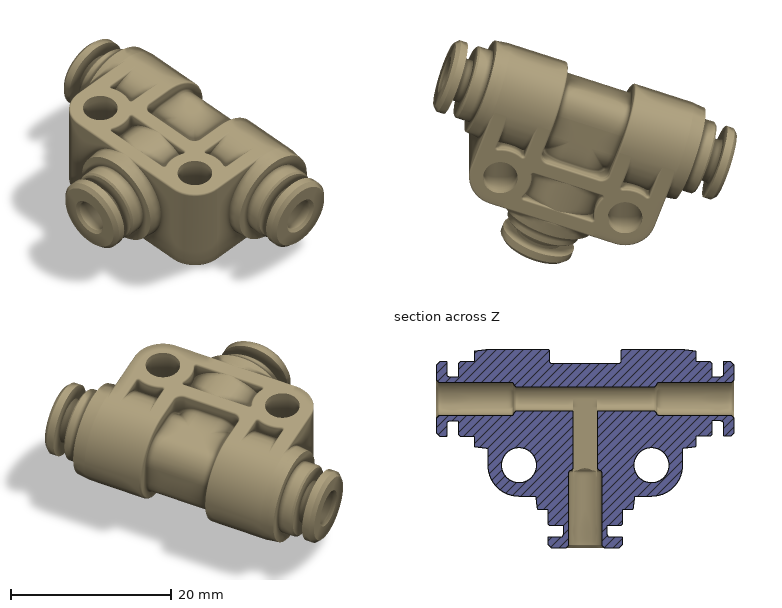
import cadquery as cq
port_reach = 18.6
body_radius = 6.198
body_reach = 12.15
edge_round = 0.22
overlap = 0.37

hole_radius = 2.15
plate_corner_radius = 3.9
hole_offset = body_reach - plate_corner_radius
hole_wall_radius = plate_corner_radius

notch_half_width = 4.43
notch_depth = 4.43
notch_corner_radius = 1.05
pocket_width = 3.72
pocket_corner_radius = 0.22
pocket_fill_radius = 6.18

core_half_width = 4.45
core_round = 3.0
core_fillet = 0.22
foot_zone = 0.4
selection_margin = 0.05

hub_end = 13.85
hub_end_radius = 6.0
sleeve_end = 15.8
sleeve_radius = 4.7
sleeve_chamfer = 0.22
neck_radius = 2.75
neck_flare = 0.15
neck_flare_length = 0.3
flange_start = 17.2
flange_chamfer = 0.5

bore_radius = 2.05
bore_chamfer = 0.35
bore_seat = 8.93
bore_seat_fillet = 0.3
relief_length = 0.25
passage_radius = 1.5


def hole_cylinders(radius):
    """Cylinders of the given radius on the axes of both mounting holes."""
    return (
        cq.Workplane("XY")
        .pushPoints([(-hole_offset, -hole_offset), (hole_offset, -hole_offset)])
        .circle(radius)
        .extrude(body_radius + overlap, both=True)
    )


def block(x_min, x_max, y_min, y_max):
    """Rectangular block taller than the plate."""
    height = 2 * (body_radius + overlap)
    return (
        cq.Workplane("XY")
        .box(x_max - x_min, y_max - y_min, height)
        .translate(((x_min + x_max) / 2, (y_min + y_max) / 2, 0))
    )


def run_cylinder(radius, x_min, x_max):
    """Cylinder about the run axis between two places along X."""
    return cq.Workplane("YZ").workplane(offset=x_min).circle(radius).extrude(x_max - x_min)


def branch_cylinder(radius, y_near, y_far):
    """Cylinder about the branch axis between two distances from the centre."""
    return cq.Workplane("XZ").workplane(offset=y_near).circle(radius).extrude(y_far - y_near)


def make_plate():
    """Flat plate with the notch and the three pockets cut right through."""
    plate = (
        cq.Workplane("XY")
        .box(2 * body_reach, body_reach, 2 * body_radius)
        .translate((0, -body_reach / 2, 0))
        .edges("|Z and <Y")
        .fillet(plate_corner_radius)
    )

    notch = (
        block(-notch_half_width, notch_half_width, -notch_depth, overlap)
        .edges("|Z and <Y")
        .fillet(notch_corner_radius)
    )
    plate = plate.cut(notch)

    hole_walls = hole_cylinders(hole_wall_radius)
    half_pocket = pocket_width / 2
    for x in (-hole_offset, hole_offset):
        side_pocket = block(x - half_pocket, x + half_pocket, -hole_offset, overlap).cut(hole_walls)
        plate = plate.cut(side_pocket.edges("|Z and (not >Y)").fillet(pocket_corner_radius))

    middle_pocket = block(
        -hole_offset, hole_offset, -hole_offset - half_pocket, -hole_offset + half_pocket
    ).cut(hole_walls)
    plate = plate.cut(middle_pocket.edges("|Z").fillet(pocket_corner_radius))

    rims = plate.faces("|Z").edges("not >Y")
    return rims.fillet(edge_round)


def make_core():
    """Tee of two bars of rounded square section, one along the run and one along the branch."""
    inner_reach = notch_half_width + overlap
    run_bar = (
        cq.Workplane("XY")
        .box(2 * inner_reach, 2 * core_half_width, 2 * core_half_width)
        .edges("|X")
        .fillet(core_round)
    )
    branch_length = notch_depth + overlap
    branch_bar = (
        cq.Workplane("XY")
        .box(2 * core_half_width, branch_length, 2 * core_half_width)
        .translate((0, -branch_length / 2, 0))
        .edges("|Y")
        .fillet(core_round)
    )
    return run_bar.union(branch_bar)


def core_edge_box(x_min, x_max, y_min, y_max):
    """Selector for edges that lie wholly between these limits and within the core's height."""
    height = core_half_width + selection_margin
    return cq.selectors.BoxSelector((x_min, y_min, -height), (x_max, y_max, height), boundingbox=True)


def core_fillet_edges():
    """Selector for the foot of the core on the notch walls and for its two curved inside mitres."""
    far_x = core_half_width + selection_margin
    far_y = core_half_width + selection_margin

    left = core_edge_box(-far_x, -far_x + foot_zone, -far_y, far_y)
    right = core_edge_box(far_x - foot_zone, far_x, -far_y, far_y)
    front = core_edge_box(-far_x, far_x, -far_y, -far_y + foot_zone)

    flat_half_width = core_half_width - core_round
    front_half = core_edge_box(-far_x, far_x, -far_y, selection_margin - flat_half_width)
    mitres = front_half & cq.selectors.TypeSelector("ELLIPSE")
    return left + right + front + mitres


def make_port():
    """Outside of one port, turned about the X axis and pointing to +X."""
    inner_end = body_reach - overlap
    return (
        cq.Workplane("XY")
        .moveTo(inner_end, 0)
        .lineTo(inner_end, body_radius)
        .lineTo(body_reach, body_radius)
        .lineTo(hub_end, hub_end_radius)
        .lineTo(hub_end, sleeve_radius)
        .lineTo(sleeve_end - sleeve_chamfer, sleeve_radius)
        .lineTo(sleeve_end, sleeve_radius - sleeve_chamfer)
        .lineTo(sleeve_end, neck_radius)
        .lineTo(flange_start - neck_flare_length, neck_radius)
        .lineTo(flange_start, neck_radius + neck_flare)
        .lineTo(flange_start, sleeve_radius)
        .lineTo(port_reach - flange_chamfer, sleeve_radius)
        .lineTo(port_reach, sleeve_radius - flange_chamfer)
        .lineTo(port_reach, 0)
        .close()
        .revolve(360, (0, 0, 0), (1, 0, 0))
    )


def make_bore():
    """Stepped tube bore for one port, pointing to +X."""
    return (
        cq.Workplane("XY")
        .moveTo(bore_seat - relief_length, 0)
        .lineTo(bore_seat - relief_length, passage_radius)
        .lineTo(bore_seat, bore_radius - bore_seat_fillet)
        .radiusArc((bore_seat + bore_seat_fillet, bore_radius), bore_seat_fillet)
        .lineTo(port_reach - bore_chamfer, bore_radius)
        .lineTo(port_reach, bore_radius + bore_chamfer)
        .lineTo(port_reach, 0)
        .close()
        .revolve(360, (0, 0, 0), (1, 0, 0))
    )


body = make_plate()

for side in (-1, 1):
    barrel = run_cylinder(body_radius, notch_half_width, body_reach).faces("<X").edges().fillet(edge_round)
    if side < 0:
        barrel = barrel.mirror("YZ")
    body = body.union(barrel)

fill_half_length = pocket_width / 2 + overlap
body = body.union(
    branch_cylinder(pocket_fill_radius, hole_offset - fill_half_length, hole_offset + fill_half_length)
)

body = body.union(make_core())

body = body.edges(core_fillet_edges()).fillet(core_fillet)

port_angles = (180, -90, 0)
for angle in port_angles:
    body = body.union(make_port().rotate((0, 0, 0), (0, 0, 1), angle))

body = body.cut(hole_cylinders(hole_radius))
for angle in port_angles:
    body = body.cut(make_bore().rotate((0, 0, 0), (0, 0, 1), angle))

body = body.cut(run_cylinder(passage_radius, -port_reach, port_reach))
branch_passage = (
    cq.Workplane("XZ").rect(2 * passage_radius, 2 * passage_radius).extrude(port_reach - bore_seat)
)
body = body.cut(branch_passage)

result = body